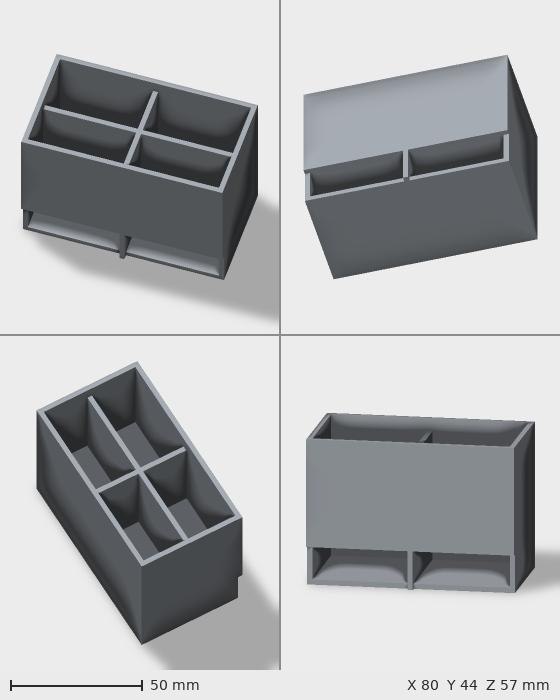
import cadquery as cq

length = 80.0
depth = 44.0
height = 57.0

wall = 2.0
divider_drop = 5.0
bay_top = 15.0
front_setback = wall

compartment_floor = bay_top + wall
divider_top = height - divider_drop
front = -depth / 2
back = depth / 2
inner_length = length - 2 * wall


def box(size_x, y_min, y_max, z_min, z_max):
    """Block centred on X, spanning the given Y and Z limits."""
    return cq.Workplane("XY").box(
        size_x, y_max - y_min, z_max - z_min, centered=(True, False, False)
    ).translate((0, y_min, z_min))


def upper_tray():
    """Open-topped box with a cross of dividers."""
    tray = box(length, front, back, bay_top, height)
    cavity = box(inner_length, front + wall, back - wall, compartment_floor, height)
    across = box(inner_length, -wall / 2, wall / 2, compartment_floor, divider_top)
    along = box(wall, front + wall, back - wall, compartment_floor, divider_top)
    return tray.cut(cavity).union(across).union(along)


def lower_bays():
    """Two front-opening bays, with a central post reaching the front panel."""
    frame = box(length, front + front_setback, back, 0, bay_top)
    opening = box(inner_length, front + front_setback, back - wall, wall, bay_top)
    post = box(wall, front, back - wall, 0, bay_top)
    return frame.cut(opening).union(post)


result = upper_tray().union(lower_bays())